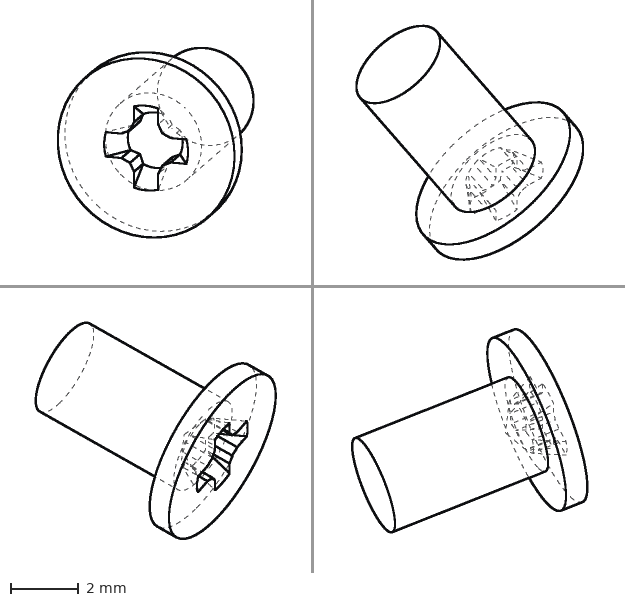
import cadquery as cq
import math

total_length = 5.7
head_diameter = 5.5
head_thickness = 0.7
shank_diameter = 3.0

recess_mouth_radius = 1.305
recess_floor_radius = 0.855
recess_wall_depth = 0.88
floor_slope_angle = 31.0
wing_width = 0.75
wing_root = 0.765
inner_corner = 0.5


def make_body():
    """Flat disc head with a plain cylindrical shank behind it."""
    head = cq.Workplane("XZ").circle(head_diameter / 2).extrude(-head_thickness)
    shank = cq.Workplane("XZ").circle(shank_diameter / 2).extrude(-total_length)
    return head.union(shank)


def make_recess():
    """Tapered pocket with a conical floor, limited to a cross outline."""
    recess_depth = recess_wall_depth + recess_floor_radius * math.tan(math.radians(floor_slope_angle))
    cone = (
        cq.Workplane("XY")
        .moveTo(0, 0)
        .lineTo(recess_mouth_radius, 0)
        .lineTo(recess_floor_radius, recess_wall_depth)
        .lineTo(0, recess_depth)
        .close()
        .revolve(360, (0, 0, 0), (0, 1, 0))
    )

    half_width = wing_width / 2
    wing_reach = head_diameter / 2
    wing_points = [
        (wing_root, -half_width),
        (wing_reach, -half_width),
        (wing_reach, half_width),
        (wing_root, half_width),
        (inner_corner, inner_corner),
    ]
    outline = []
    for quarter in range(4):
        turn = math.radians(90 * quarter)
        for x, z in wing_points:
            outline.append((
                x * math.cos(turn) - z * math.sin(turn),
                x * math.sin(turn) + z * math.cos(turn),
            ))
    cross = cq.Workplane("XZ").polyline(outline).close().extrude(-recess_depth)
    return cone.intersect(cross)


result = make_body().cut(make_recess())